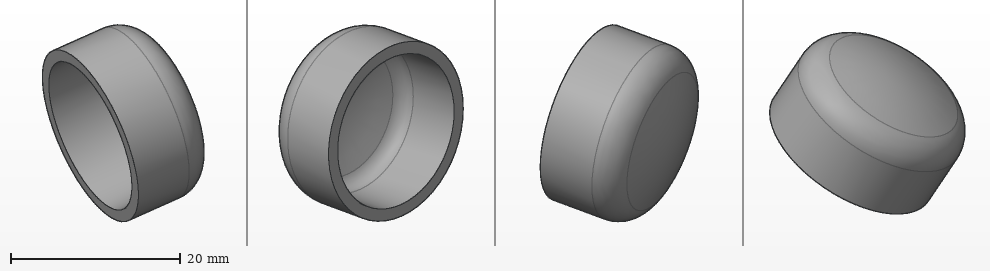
import cadquery as cq
import math

outer_diameter = 22.0
bore_diameter = 19.0
skirt_length = 7.0
overall_depth = 12.03
knuckle_radius = 3.67

outer_radius = outer_diameter / 2
wall = (outer_diameter - bore_diameter) / 2

knuckle_offset = outer_radius - knuckle_radius
head_depth = overall_depth - skirt_length
dome_radius = (knuckle_offset**2 + head_depth**2 - knuckle_radius**2) / (2 * (head_depth - knuckle_radius))
dome_center = overall_depth - dome_radius
dome_half_angle = math.asin(knuckle_offset / (dome_radius - knuckle_radius))


def knuckle_point(radius, angle):
    """Point on a knuckle arc, with the angle measured from the Y axis."""
    return (
        knuckle_offset + radius * math.sin(angle),
        skirt_length + radius * math.cos(angle),
    )


def dome_point(radius, angle):
    """Point on a dome arc, with the angle measured from the Y axis."""
    return (radius * math.sin(angle), dome_center + radius * math.cos(angle))


def dished_solid(inset):
    """Solid bounded by the outer surface moved inwards by the inset."""
    knuckle = knuckle_radius - inset
    dome = dome_radius - inset
    knuckle_mid_angle = (dome_half_angle + math.pi / 2) / 2
    return (
        cq.Workplane("XY")
        .lineTo(outer_radius - inset, 0)
        .lineTo(outer_radius - inset, skirt_length)
        .threePointArc(knuckle_point(knuckle, knuckle_mid_angle), knuckle_point(knuckle, dome_half_angle))
        .threePointArc(dome_point(dome, dome_half_angle / 2), dome_point(dome, 0))
        .close()
        .revolve(360, (0, 0, 0), (0, 1, 0))
    )


result = dished_solid(0).cut(dished_solid(wall))